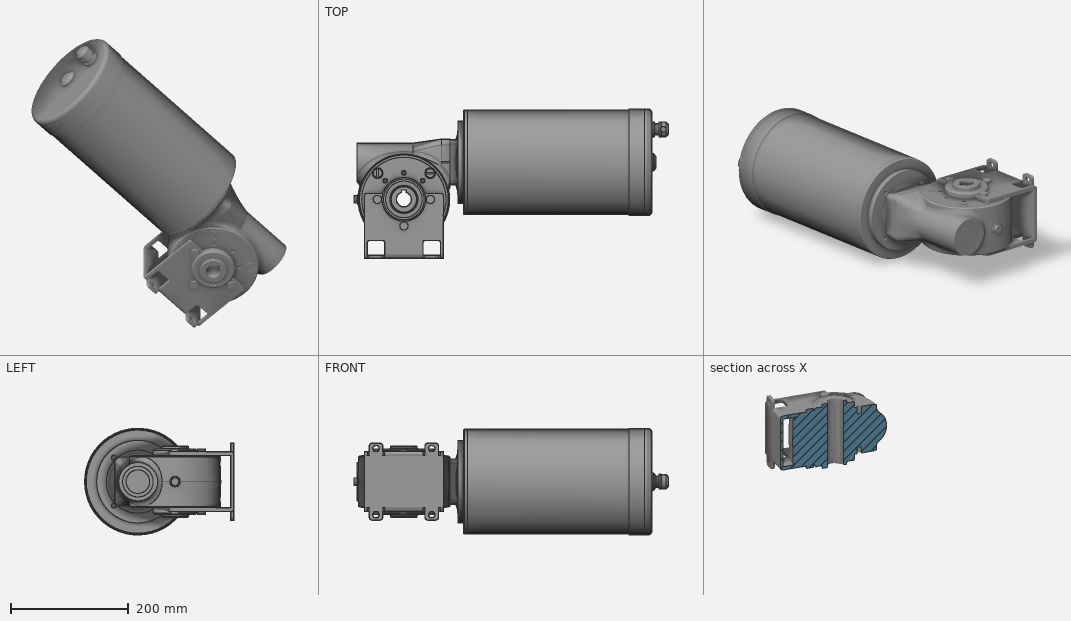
import cadquery as cq
import math


axis_offset = 63.0
case_radius = 77.8
case_draft = 1.0
case_edge_chamfer = 1.5
case_half_height = 44.0
cover_radius = 71.5
cover_step = 0.7
barrel_radius = 32.6
barrel_start_x = -79.6
barrel_blend_radius = 10.0
barrel_reach = 110.0
taper_start_x = 15.5
barrel_cap_radius = 26.0
barrel_cap_groove = 6.0
barrel_cap_depth = 0.5

neck_start_x = 63.5
neck_end_x = 78.0
neck_width_y = 79.0
neck_width_z = 83.0
neck_corner = 10.0
neck_seam_width = 3.0
neck_seam_depth = 0.5
rear_neck_width = 77.0
rear_neck_corner = 7.5
collar_start_x = 88.5
collar_radius = 40.0
collar_end_radius = 48.0
collar_flange_x = 91.0
collar_flange_radius = 53.5

motor_flange_x = 91.5
motor_flange_radius = 70.0
motor_body_x = 101.0
motor_chamfer = 1.5
motor_radius = 89.0
motor_seam_x = 107.8
seam_size = 0.5
end_cap_x = 381.6
end_cap_radius = 90.5
end_cap_seam_x = 408.0
motor_end_x = 420.9
end_cap_rounding = 7.0
motor_hole_circle_radius = 58.0
motor_hole_depth = 8.0

gland_offset = 55.8
gland_end_x = 449.1
gland_radius = 12.6
gland_neck_radius = 9.8
gland_base_length = 4.0
gland_nut_x = 432.5
gland_nut_chamfer = 4.5
gland_groove_x = 436.0
gland_groove_width = 1.2
gland_groove_depth = 0.8
gland_spot_diameter = 9.5
gland_spot_depth = 1.0
rear_plug_radius = 14.8
rear_plug_small_radius = 9.0
rear_plug_height = 7.0
rear_plug_rim = 3.0

hub_radius = 37.0
hub_top = 55.5
hub_chamfer = 2.5
hub_recess_diameter = 62.0
hub_recess_depth = 0.5
bearing_ring_diameter = 47.5
bearing_ring_top = 56.5
shaft_diameter = 45.0
shaft_top = 60.5
bore_diameter = 25.0
key_width = 8.0
key_top = 15.8
bore_chamfer = 1.0

bolt_circle_radius = 45.0
bolt_diameter = 14.0
bolt_angles = (0, 180, 270)
open_hole_angles = (45, 90, 135)
tapped_diameter = 6.65
tapped_rim_diameter = 8.0
cover_hole_depth = 12.0
plug_circle_radius = 63.0
plug_outer_diameter = 18.0
plug_inner_diameter = 15.0
plug_groove_depth = 0.8
plug_slot_width = 3.0
plug_slot_depth = 1.2
vent_boss_diameter = 17.5
vent_boss_x = -79.0
vent_root_x = -68.0
vent_head_diameter = 13.0
vent_end_x = -84.7
vent_turn = 37.0

bracket_half_width = 67.0
bracket_outer_z = 51.0
bracket_inner_z = case_half_height
bracket_top_y = 10.4
bracket_corner = 4.0
bracket_bottom_y = -100.0
bracket_base_thickness = 5.5
bracket_bend_radius = 6.0
foot_x = 47.3
foot_width = 23.0
foot_end_z = 65.5
foot_corner = 5.0
foot_hole_diameter = 10.5
foot_hole_z = 56.0
relief_width = 29.0
relief_top_y = -70.0
relief_corner = 3.0

overlap = 2.0
tolerance = 0.01


def cylinder_z(x, y, radius, z_from, z_to):
    return cq.Workplane("XY", origin=(x, y, z_from)).circle(radius).extrude(z_to - z_from)


def cylinder_x(y, radius, x_from, x_to):
    return cq.Workplane("YZ", origin=(x_from, y, 0)).circle(radius).extrude(x_to - x_from)


def mirrored_pair(shape):
    """The shape together with its copy below Z = 0."""
    return shape.union(shape.mirror("XY"))


def ring_x(y, x, width, outer_radius, inner_radius):
    outer = cylinder_x(y, outer_radius, x, x + width)
    return outer.cut(cylinder_x(y, inner_radius, x, x + width))


def on_circle(radius, angle):
    turn = math.radians(angle)
    return radius * math.cos(turn), radius * math.sin(turn)


def make_barrel():
    """Worm barrel, its taper from round to rounded block, and the block itself."""
    barrel = cylinder_x(axis_offset, barrel_radius, -barrel_reach, taper_start_x)
    block_outline = cq.Sketch().rect(neck_width_y, neck_width_z).vertices().fillet(neck_corner)
    taper_length = neck_start_x - taper_start_x
    taper = (
        cq.Workplane("YZ", origin=(taper_start_x, axis_offset, 0))
        .placeSketch(
            cq.Sketch().circle(barrel_radius),
            block_outline.moved(cq.Location(cq.Vector(0, 0, taper_length))))
        .loft()
    )
    block = (
        cq.Workplane("YZ", origin=(neck_start_x, axis_offset, 0))
        .placeSketch(block_outline)
        .extrude(barrel_reach - neck_start_x)
    )
    return barrel.union(taper).union(block)


def blend_barrel(wall_radius):
    """Barrel joined to a tall round wall, with the joint between them filleted."""
    wall = cylinder_z(0, 0, wall_radius, -case_radius, case_radius)
    joined = wall.union(make_barrel())
    joint = []
    for edge in joined.edges().vals():
        points = [edge.positionAt(place) for place in (0, 0.3, 0.5, 0.8, 1)]
        on_wall = all(abs(math.hypot(p.x, p.y) - wall_radius) < tolerance for p in points)
        on_barrel = all(abs(p.z) < case_half_height for p in points)
        if on_wall and on_barrel and edge.geomType() != "LINE":
            joint.append(edge)
    return joined.newObject(joint).fillet(barrel_blend_radius)


def make_case():
    """Round case drafted from its parting plane, with the worm barrel blended into its wall."""
    wall_top = case_half_height - cover_step
    rim_radius = case_radius - case_draft
    trim = cq.Workplane("XY").box(
        neck_end_x - barrel_start_x, 4 * case_radius, 2 * wall_top, centered=(False, True, True)
    ).translate((barrel_start_x, 0, 0))
    case = blend_barrel(rim_radius).intersect(trim)
    wall = mirrored_pair(
        cq.Workplane("XY").circle(case_radius).workplane(offset=wall_top).circle(rim_radius).loft())
    case = case.union(wall)
    edge_bottom = wall_top - case_edge_chamfer
    clear_radius = rim_radius + 2 * barrel_blend_radius
    edge_cut = (
        cq.Workplane("XZ")
        .moveTo(rim_radius - case_edge_chamfer, wall_top)
        .lineTo(rim_radius, edge_bottom)
        .lineTo(clear_radius, edge_bottom)
        .lineTo(clear_radius, wall_top)
        .close()
        .revolve(360, (0, 0, 0), (0, 1, 0))
    )
    case = case.cut(mirrored_pair(edge_cut))
    cover = cylinder_z(0, 0, cover_radius, -case_half_height, case_half_height)
    cap_outline = ring_x(
        axis_offset, barrel_start_x, barrel_cap_depth,
        barrel_cap_radius, barrel_cap_radius - barrel_cap_groove)
    seam = mirrored_pair(
        cq.Workplane("YZ", origin=(neck_start_x, axis_offset, neck_width_z / 2))
        .rect(neck_seam_width, 2 * neck_seam_depth)
        .extrude(neck_end_x - neck_start_x)
    )
    return case.union(cover).cut(cap_outline).cut(seam)


def make_rear_neck():
    """Smaller square neck behind the block, flaring to a collar and flange at the motor."""
    neck = (
        cq.Workplane("YZ", origin=(neck_end_x - overlap, axis_offset, 0))
        .rect(rear_neck_width, rear_neck_width)
        .extrude(motor_flange_x - neck_end_x + overlap)
        .edges("|X").fillet(rear_neck_corner)
    )
    collar = (
        cq.Workplane("YZ", origin=(collar_start_x, axis_offset, 0))
        .circle(collar_radius)
        .workplane(offset=collar_flange_x - collar_start_x)
        .circle(collar_end_radius)
        .loft()
    )
    flange = cylinder_x(axis_offset, collar_flange_radius, collar_flange_x, motor_flange_x + overlap)
    return neck.union(collar).union(flange)


def make_motor():
    """Turned motor body, its end cap and the screw holes in its front face."""
    rounding_x = motor_end_x - end_cap_rounding
    end_radius = end_cap_radius - end_cap_rounding
    diagonal = math.sqrt(0.5)
    motor = (
        cq.Workplane("XY", origin=(0, axis_offset, 0))
        .moveTo(motor_flange_x, 0)
        .lineTo(motor_flange_x, motor_flange_radius)
        .lineTo(motor_body_x, motor_flange_radius)
        .lineTo(motor_body_x, motor_radius - motor_chamfer)
        .lineTo(motor_body_x + motor_chamfer, motor_radius)
        .lineTo(end_cap_x, motor_radius)
        .lineTo(end_cap_x, end_cap_radius)
        .lineTo(rounding_x, end_cap_radius)
        .threePointArc(
            (rounding_x + end_cap_rounding * diagonal,
             end_radius + end_cap_rounding * diagonal),
            (motor_end_x, end_radius))
        .lineTo(motor_end_x, 0)
        .close()
        .revolve(360, (0, 0, 0), (1, 0, 0))
    )
    for seam_x, radius in ((motor_seam_x, motor_radius), (end_cap_seam_x, end_cap_radius)):
        motor = motor.cut(ring_x(axis_offset, seam_x, seam_size, radius + overlap, radius - seam_size))
    for angle in (45, 135, 225, 315):
        y, z = on_circle(motor_hole_circle_radius, angle)
        front_face = cq.Workplane("YZ", origin=(motor_flange_x, axis_offset + y, z))
        motor = motor.cut(front_face.circle(tapped_rim_diameter / 2).extrude(motor_hole_depth))
    return motor


def make_gland():
    """Cable gland on the motor's rear face: base, neck and chamfered nut."""
    y = axis_offset + gland_offset
    base = cylinder_x(y, gland_radius, motor_end_x - overlap, motor_end_x + gland_base_length)
    neck = cylinder_x(y, gland_neck_radius, motor_end_x, gland_nut_x)
    nut = cylinder_x(y, gland_radius, gland_nut_x, gland_end_x)
    nut = nut.faces(">X").chamfer(gland_nut_chamfer)
    groove = ring_x(
        y, gland_groove_x, gland_groove_width,
        gland_radius + overlap, gland_radius - gland_groove_depth)
    spot_x = (gland_groove_x + gland_end_x - gland_nut_chamfer) / 2
    spot = cylinder_z(
        spot_x, y, gland_spot_diameter / 2,
        gland_radius - gland_spot_depth, gland_radius + overlap)
    return base.union(neck).union(nut.cut(groove).cut(spot))


def make_rear_plug():
    """Tapered plug in the middle of the motor's rear face."""
    tip_x = motor_end_x + rear_plug_height
    return (
        cq.Workplane("XY", origin=(0, axis_offset, 0))
        .moveTo(motor_end_x - overlap, 0)
        .lineTo(motor_end_x - overlap, rear_plug_radius)
        .lineTo(motor_end_x + rear_plug_rim, rear_plug_radius)
        .lineTo(tip_x, rear_plug_small_radius)
        .lineTo(tip_x, 0)
        .close()
        .revolve(360, (0, 0, 0), (1, 0, 0))
    )


def make_hub():
    """Stepped hub on the upper cover: flange, bearing ring and hollow shaft."""
    root = case_half_height - overlap
    flange = cylinder_z(0, 0, hub_radius, root, hub_top).faces(">Z").chamfer(hub_chamfer)
    recess = cylinder_z(0, 0, hub_recess_diameter / 2, hub_top - hub_recess_depth, hub_top)
    ring = cylinder_z(0, 0, bearing_ring_diameter / 2, root, bearing_ring_top)
    shaft = cylinder_z(0, 0, shaft_diameter / 2, root, shaft_top)
    return flange.cut(recess).union(ring).union(shaft.faces(">Z").chamfer(bore_chamfer))


def make_bolts():
    """Round bolt heads that hold the bracket to the upper cover."""
    bolts = cq.Workplane("XY")
    for angle in bolt_angles:
        x, y = on_circle(bolt_circle_radius, angle)
        bolts = bolts.union(
            cylinder_z(x, y, bolt_diameter / 2, case_half_height - overlap, hub_top))
    return bolts


def cover_holes():
    """Stepped holes in the free half of the upper cover's bolt circle."""
    holes = cq.Workplane("XY")
    rim_depth = (tapped_rim_diameter - tapped_diameter) / 2
    for angle in open_hole_angles:
        x, y = on_circle(bolt_circle_radius, angle)
        hole = cylinder_z(
            x, y, tapped_diameter / 2, case_half_height - cover_hole_depth, hub_top)
        rim = cylinder_z(
            x, y, tapped_rim_diameter / 2, case_half_height - rim_depth, hub_top)
        holes = holes.union(hole).union(rim)
    return holes


def plug_marks():
    """Ring grooves and screwdriver slots of the two flush plugs in the upper cover."""
    marks = cq.Workplane("XY")
    for angle, slot_turn in ((45, 0), (135, 90)):
        x, y = on_circle(plug_circle_radius, angle)
        groove = (
            cq.Workplane("XY", origin=(x, y, case_half_height - plug_groove_depth))
            .circle(plug_outer_diameter / 2)
            .circle(plug_inner_diameter / 2)
            .extrude(plug_groove_depth)
        )
        slot = (
            cq.Workplane("XY", origin=(x, y, case_half_height - plug_slot_depth))
            .transformed(rotate=(0, 0, slot_turn))
            .rect(plug_outer_diameter - overlap, plug_slot_width)
            .extrude(plug_slot_depth)
        )
        marks = marks.union(groove).union(slot)
    return marks


def make_vent():
    """Vent screw on a small boss at the -X side of the case."""
    boss = cylinder_x(0, vent_boss_diameter / 2, vent_boss_x, vent_root_x)
    head = cylinder_x(0, vent_head_diameter / 2, vent_end_x, vent_root_x)
    return boss.union(head).rotate((0, 0, 0), (1, 0, 0), vent_turn)


def make_bracket():
    """U-shaped plate bracket with four feet in its base plane."""
    height = bracket_top_y - bracket_bottom_y
    middle_y = (bracket_top_y + bracket_bottom_y) / 2
    width = 2 * bracket_half_width
    side = (
        cq.Workplane("XY", origin=(0, middle_y, bracket_inner_z))
        .rect(width, height)
        .extrude(bracket_outer_z - bracket_inner_z)
        .edges("|Z and >Y").fillet(bracket_corner)
        .edges("|X and <Y and >Z").fillet(bracket_bend_radius)
    )
    relief_height = relief_top_y - bracket_bottom_y
    base = cq.Workplane("XY").box(
        width, bracket_base_thickness, 2 * bracket_inner_z, centered=(True, False, True)
    ).translate((0, bracket_bottom_y, 0))
    bracket = mirrored_pair(side).union(base)
    for x in (-foot_x, foot_x):
        relief = (
            cq.Workplane("XY", origin=(x, relief_top_y - relief_height / 2, 0))
            .rect(relief_width, relief_height)
            .extrude(bracket_outer_z)
            .edges("|Z and >Y").fillet(relief_corner)
        )
        relief = relief.cut(
            cq.Workplane("XY").box(width, 4 * height, 2 * bracket_inner_z))
        foot = (
            cq.Workplane("XZ", origin=(x, bracket_bottom_y, 0))
            .rect(foot_width, 2 * foot_end_z)
            .extrude(-bracket_base_thickness)
            .edges("|Y").fillet(foot_corner)
        )
        holes = (
            cq.Workplane("XZ", origin=(x, bracket_bottom_y, 0))
            .pushPoints([(0, -foot_hole_z), (0, foot_hole_z)])
            .circle(foot_hole_diameter / 2)
            .extrude(-bracket_base_thickness)
        )
        bracket = bracket.cut(mirrored_pair(relief)).union(foot).cut(holes)
    return bracket


def output_bore():
    """Through bore with its keyway on the +Y side."""
    bore = cylinder_z(0, 0, bore_diameter / 2, -shaft_top, shaft_top)
    keyway = cq.Workplane("XY").box(
        key_width, key_top, 2 * shaft_top, centered=(True, False, True))
    return bore.union(keyway)


result = make_case()
result = result.union(make_vent())
result = result.union(make_rear_neck())
result = result.union(make_motor())
result = result.union(make_gland())
result = result.union(make_rear_plug())
result = result.cut(mirrored_pair(cover_holes().union(plug_marks())))
result = result.union(make_bracket())
result = result.union(mirrored_pair(make_hub().union(make_bolts())))
result = result.cut(output_bore())